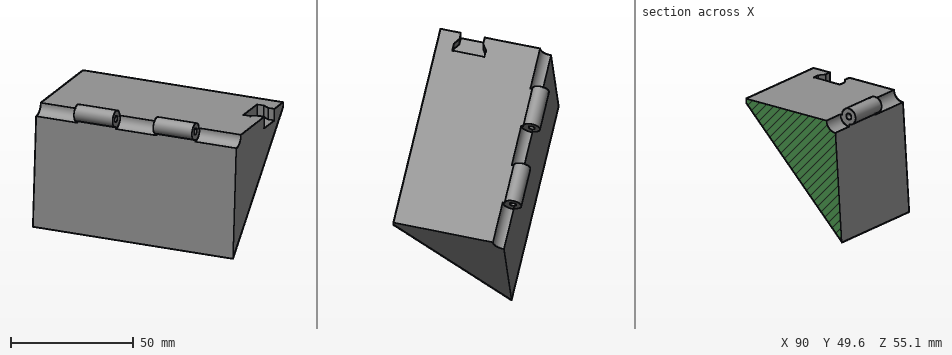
import cadquery as cq

length = 90.0
depth = 49.6
height = 55.1
back_edge_height = 2.1

knuckle_radius = 3.5
pin_hole_diameter = 2.6
groove_radius = 4.3
knuckle_length = 17.4
knuckle_gap = 18.3

pocket_length = 8.6
pocket_neck_end = 2.9
pocket_taper_end = 5.6
pocket_half_width = 6.75
pocket_neck_half_width = 4.95
pocket_depth = 5.0
pocket_back_distance = 13.6

top_z = height - knuckle_radius
axis_y = knuckle_radius
knuckle_starts = [
    (length - knuckle_gap) / 2 - knuckle_length,
    (length + knuckle_gap) / 2,
]


def rod(radius, start, rod_length):
    """Cylinder along the hinge axis."""
    return (
        cq.Workplane("YZ", origin=(start, axis_y, top_z))
        .circle(radius)
        .extrude(rod_length)
    )


def make_body():
    return (
        cq.Workplane("YZ")
        .polyline([
            (0, 0),
            (axis_y, top_z),
            (depth, top_z),
            (depth, top_z - back_edge_height),
        ])
        .close()
        .extrude(length)
    )


def make_pocket():
    pocket_y = depth - pocket_back_distance
    half_outline = [
        (length, pocket_neck_half_width),
        (length - pocket_neck_end, pocket_neck_half_width),
        (length - pocket_taper_end, pocket_half_width),
        (length - pocket_length, pocket_half_width),
    ]
    mirrored_outline = [(x, -y) for x, y in reversed(half_outline)]
    return (
        cq.Workplane("XY", origin=(0, pocket_y, top_z))
        .polyline(half_outline + mirrored_outline)
        .close()
        .extrude(-pocket_depth)
    )


groove = rod(groove_radius, 0, length)
for knuckle_start in knuckle_starts:
    groove = groove.cut(rod(groove_radius, knuckle_start, knuckle_length))

result = make_body().cut(groove)
for knuckle_start in knuckle_starts:
    result = result.union(rod(knuckle_radius, knuckle_start, knuckle_length))
result = result.cut(rod(pin_hole_diameter / 2, 0, length))
result = result.cut(make_pocket())